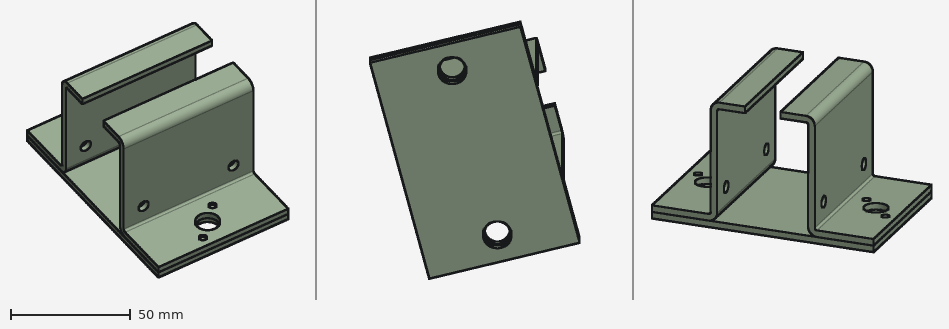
import cadquery as cq
import math

base_length = 100.0
depth = 65.0
height = 57.0

sheet = 3.0
inner_bend = 1.0
outer_bend = inner_bend + sheet

half_length = base_length / 2
channel_width = 47.0
mouth_width = 16.0
wall_outer = channel_width / 2
wall_inner = wall_outer - sheet

mount_x = 38.0
mount_diameter = 10.5
plate_hole_diameter = 12.0
rivet_diameter = 3.4
rivet_depth = 1.3
rivet_circle_radius = 10.0
rivet_angle = math.radians(45)
rivet_offset = rivet_circle_radius * math.cos(rivet_angle)

cross_diameter = 5.0
cross_spacing = 45.0
cross_height = 15.0


def vertical_holes(points, diameter):
    """Vertical cutters through the base plate and the flanges."""
    return cq.Workplane("XY").pushPoints(points).circle(diameter / 2).extrude(2 * sheet)


def make_base_plate():
    plate = cq.Workplane("XY").box(base_length, depth, sheet, centered=(True, True, False))
    return plate.cut(vertical_holes([(-mount_x, 0), (mount_x, 0)], plate_hole_diameter))


def bracket_profile(side):
    """Z-shaped sheet section with sharp corners; side is -1 (left) or +1 (right)."""
    outline = [
        (half_length, sheet),
        (wall_inner, sheet),
        (wall_inner, height - sheet),
        (mouth_width / 2, height - sheet),
        (mouth_width / 2, height),
        (wall_outer, height),
        (wall_outer, 2 * sheet),
        (half_length, 2 * sheet),
    ]
    points = [(side * x, z) for x, z in outline]
    return cq.Workplane("XZ").polyline(points).close().extrude(depth / 2, both=True)


def round_bends(bracket, side):
    """Round the inside and outside corners of the two bends."""
    corners = [
        (wall_inner, sheet, outer_bend),
        (wall_outer, 2 * sheet, inner_bend),
        (wall_inner, height - sheet, inner_bend),
        (wall_outer, height, outer_bend),
    ]
    for x, z, radius in corners:
        corner_edge = cq.selectors.NearestToPointSelector((side * x, 0, z))
        bracket = bracket.edges("|Y").edges(corner_edge).fillet(radius)
    return bracket


def cross_holes():
    """Horizontal cutters through the walls of both brackets."""
    half_spacing = cross_spacing / 2
    return (
        cq.Workplane("YZ")
        .pushPoints([(-half_spacing, cross_height), (half_spacing, cross_height)])
        .circle(cross_diameter / 2)
        .extrude(half_length, both=True)
    )


def make_bracket(side):
    bracket = round_bends(bracket_profile(side), side)
    center_x = side * mount_x
    rivet_points = [
        (center_x - rivet_offset, rivet_offset),
        (center_x + rivet_offset, -rivet_offset),
    ]
    bracket = bracket.cut(vertical_holes([(center_x, 0)], mount_diameter))
    rivet_holes = vertical_holes(rivet_points, rivet_diameter).translate((0, 0, 2 * sheet - rivet_depth))
    bracket = bracket.cut(rivet_holes)
    return bracket.cut(cross_holes())


base_plate = make_base_plate()
brackets = [make_bracket(side) for side in (-1, 1)]

result = cq.Compound.makeCompound(
    [base_plate.val(), *[bracket.val() for bracket in brackets]]
)